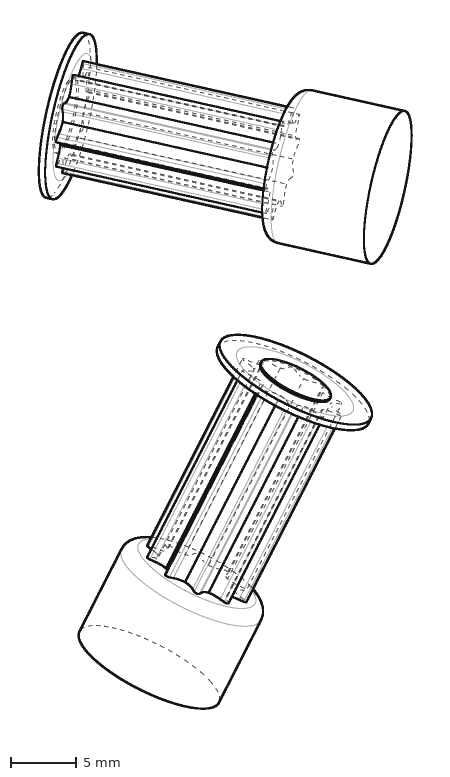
import cadquery as cq
import math

LENGTH = 26.05
COLLAR_START = 17.6

FLANGE_RADIUS = 6.502
FLANGE_THICKNESS = 0.52
DISH_RADIUS = 5.0
DISH_DEPTH = 0.15

HUB_RADIUS = 3.0

COLLAR_RADIUS = 6.02
COLLAR_FILLET = 1.0

TOOTH_COUNT = 10
TIP_RADIUS = 4.43
TIP_ROUND = 0.23
GROOVE_EDGE_HEIGHT = 3.8
GROOVE_HALF_WIDTH = 0.85

HALF_PITCH = math.pi / TOOTH_COUNT


def rotate(point, angle):
    """Turn a point of the YZ section about the X axis."""
    y, z = point
    return (
        y * math.cos(angle) - z * math.sin(angle),
        y * math.sin(angle) + z * math.cos(angle),
    )


def flank_tip(groove_edge):
    """Tangent point of the flank on the tip round of the +Z tooth, on its +Y side."""
    edge_y, edge_z = groove_edge
    centre_z = TIP_RADIUS - TIP_ROUND
    rise = edge_z - centre_z
    distance = math.hypot(edge_y, rise)
    angle = math.atan2(rise, edge_y) + math.acos(TIP_ROUND / distance)
    return (TIP_ROUND * math.cos(angle), centre_z + TIP_ROUND * math.sin(angle))


def toothed_section():
    """Outline of round-tipped teeth with straight flanks and parabolic grooves."""
    groove_edge = rotate((-GROOVE_HALF_WIDTH, GROOVE_EDGE_HEIGHT), -HALF_PITCH)
    flank_start = flank_tip(groove_edge)
    round_angle = math.atan2(flank_start[1] - TIP_RADIUS + TIP_ROUND, flank_start[0])
    mid_angle = (round_angle + math.pi / 2) / 2
    tip_middle = (
        TIP_ROUND * math.cos(mid_angle),
        TIP_RADIUS - TIP_ROUND + TIP_ROUND * math.sin(mid_angle),
    )

    start_y, start_z = rotate(flank_start, HALF_PITCH)
    slope = (start_z - GROOVE_EDGE_HEIGHT) / (start_y + GROOVE_HALF_WIDTH)
    groove_radius = GROOVE_EDGE_HEIGHT + slope * GROOVE_HALF_WIDTH / 2
    control = rotate((-GROOVE_HALF_WIDTH / 2, groove_radius), -HALF_PITCH)
    groove_bottom = rotate((0, groove_radius), -HALF_PITCH)

    section = cq.Workplane("YZ").moveTo(0, TIP_RADIUS)
    for index in range(TOOTH_COUNT):
        turn = -2 * HALF_PITCH * index

        def leading(point):
            return rotate(point, turn)

        def trailing(point):
            return rotate((-point[0], point[1]), turn - 2 * HALF_PITCH)

        section = (
            section.threePointArc(leading(tip_middle), leading(flank_start))
            .lineTo(*leading(groove_edge))
            .bezier([leading(control), leading(groove_bottom)], includeCurrent=True)
            .bezier([trailing(control), trailing(groove_edge)], includeCurrent=True)
            .lineTo(*trailing(flank_start))
            .threePointArc(trailing(tip_middle), trailing((0, TIP_RADIUS)))
        )
    return section.close()


def toothed_shaft():
    """Toothed length running from the hub disc into the collar."""
    length = COLLAR_START - FLANGE_THICKNESS
    return toothed_section().extrude(length).translate((FLANGE_THICKNESS, 0, 0))


def flange():
    """Disc of constant thickness whose rim is bent toward -X, with the hub disc in it."""
    back = DISH_DEPTH + FLANGE_THICKNESS
    profile = [
        (0, 0),
        (0, HUB_RADIUS),
        (DISH_DEPTH, HUB_RADIUS),
        (DISH_DEPTH, DISH_RADIUS),
        (0, FLANGE_RADIUS),
        (FLANGE_THICKNESS, FLANGE_RADIUS),
        (back, DISH_RADIUS),
        (back, 0),
    ]
    return cq.Workplane("XY").polyline(profile).close().revolve(360, (0, 0, 0), (1, 0, 0))


def collar():
    """Plain cylinder with its shaft-side edge rounded."""
    blank = cq.Workplane("YZ").circle(COLLAR_RADIUS).extrude(LENGTH - COLLAR_START)
    return blank.faces("<X").edges().fillet(COLLAR_FILLET).translate((COLLAR_START, 0, 0))


result = flange().union(toothed_shaft()).union(collar())